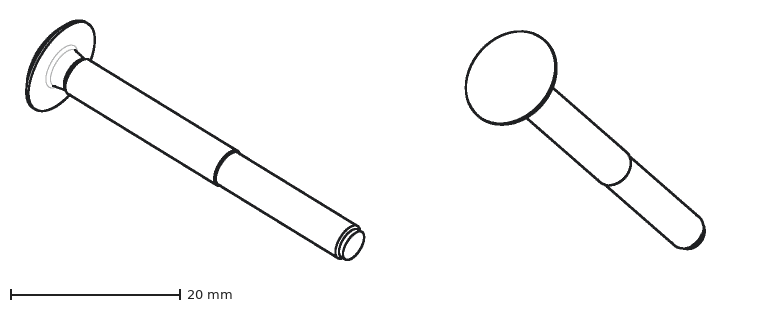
import cadquery as cq
import math

length = 48.4

head_radius = 11.9 / 2
dome_height = 2.27
rim_thickness = 0.4
head_underside = dome_height + rim_thickness

fillet_radius = 0.4
neck_start_radius = 4.95 / 2
neck_end_radius = 4.25 / 2
neck_start = head_underside + fillet_radius
neck_end = 4.85

body_radius = 4.75 / 2
body_start = 5.27
body_end = 28.75

shank_radius = 4.45 / 2
body_end_bevel = body_radius - shank_radius
tip_radius = 3.8 / 2
tip_length = 0.65
shank_bevel_length = 0.3
tip_start = length - tip_length
shank_end = tip_start - shank_bevel_length

dome_radius = (head_radius**2 + dome_height**2) / (2 * dome_height)
dome_mid_angle = math.asin(head_radius / dome_radius) / 2
dome_mid = (
    dome_radius * (1 - math.cos(dome_mid_angle)),
    dome_radius * math.sin(dome_mid_angle),
)
fillet_mid_offset = fillet_radius * (1 - math.cos(math.pi / 4))
fillet_mid = (head_underside + fillet_mid_offset, neck_start_radius + fillet_mid_offset)

profile = (
    cq.Workplane("XY")
    .moveTo(0, 0)
    .threePointArc(dome_mid, (dome_height, head_radius))
    .lineTo(head_underside, head_radius)
    .lineTo(head_underside, neck_start_radius + fillet_radius)
    .threePointArc(fillet_mid, (neck_start, neck_start_radius))
    .lineTo(neck_end, neck_end_radius)
    .lineTo(body_start, body_radius)
    .lineTo(body_end - body_end_bevel, body_radius)
    .lineTo(body_end, shank_radius)
    .lineTo(shank_end, shank_radius)
    .lineTo(tip_start, tip_radius)
    .lineTo(length, tip_radius)
    .lineTo(length, 0)
    .close()
)

result = profile.revolve(360, (0, 0, 0), (1, 0, 0))